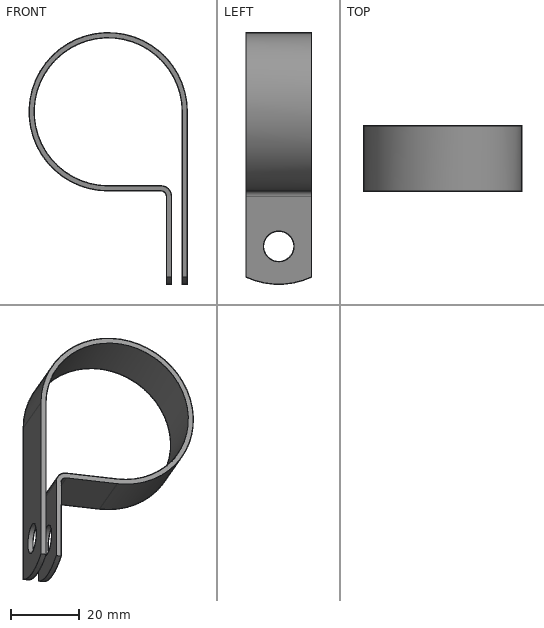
import cadquery as cq
import math

thickness = 1.5
band_width = 19.05
ring_outer_diameter = 45.9
overall_height = 72.95
leg_gap = 3.05
bend_inner_radius = 1.5
hole_diameter = 8.75
hole_height = 11.0
tip_rise = 2.1

outer_radius = ring_outer_diameter / 2
inner_radius = outer_radius - thickness
bend_outer_radius = bend_inner_radius + thickness
tip_z = outer_radius - overall_height
short_leg_outer_x = inner_radius - leg_gap
short_leg_inner_x = short_leg_outer_x - thickness
bend_x = short_leg_outer_x - bend_outer_radius
bend_z = -inner_radius - bend_outer_radius
diagonal = math.sqrt(0.5)


def strap_band():
    """Bent strip: long leg, three-quarter ring, flat shelf, bend and short leg."""
    profile = (
        cq.Workplane("XZ")
        .moveTo(outer_radius, tip_z)
        .lineTo(outer_radius, 0)
        .threePointArc((-outer_radius * diagonal, outer_radius * diagonal), (0, -outer_radius))
        .lineTo(bend_x, -outer_radius)
        .threePointArc(
            (bend_x + bend_inner_radius * diagonal, bend_z + bend_inner_radius * diagonal),
            (short_leg_inner_x, bend_z),
        )
        .lineTo(short_leg_inner_x, tip_z)
        .lineTo(short_leg_outer_x, tip_z)
        .lineTo(short_leg_outer_x, bend_z)
        .threePointArc(
            (bend_x + bend_outer_radius * diagonal, bend_z + bend_outer_radius * diagonal),
            (bend_x, -inner_radius),
        )
        .lineTo(0, -inner_radius)
        .threePointArc((-inner_radius * diagonal, inner_radius * diagonal), (inner_radius, 0))
        .lineTo(inner_radius, tip_z)
        .close()
    )
    return profile.extrude(band_width / 2, both=True)


def rounded_tip_envelope():
    """Block as wide as the band whose lower end is a shallow arc across Y."""
    half_width = band_width / 2
    return (
        cq.Workplane("YZ")
        .moveTo(-half_width, outer_radius)
        .lineTo(-half_width, tip_z + tip_rise)
        .threePointArc((0, tip_z), (half_width, tip_z + tip_rise))
        .lineTo(half_width, outer_radius)
        .close()
        .extrude(outer_radius, both=True)
    )


def bolt_hole():
    """Cylinder along X that passes through both legs."""
    return (
        cq.Workplane("YZ")
        .center(0, tip_z + hole_height)
        .circle(hole_diameter / 2)
        .extrude(outer_radius)
    )


result = strap_band().intersect(rounded_tip_envelope()).cut(bolt_hole())